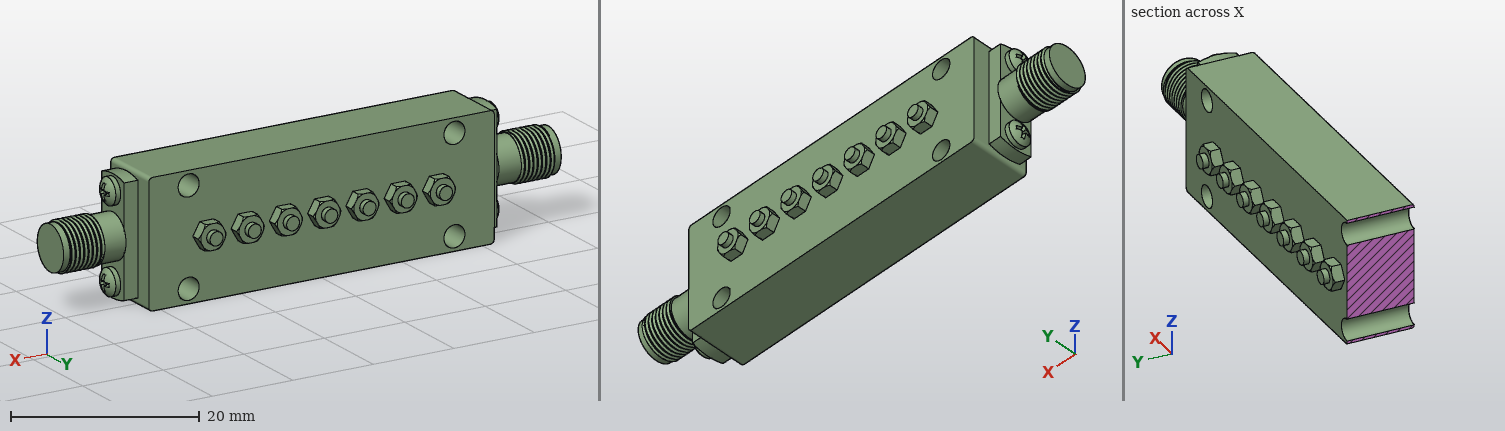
import cadquery as cq
import math

HOUSING_LENGTH = 42.9
HOUSING_DEPTH = 8.0
HOUSING_HEIGHT = 15.0
CORNER_RADIUS = 0.5
FRONT_EDGE_RADIUS = 0.3
HALF_LENGTH = HOUSING_LENGTH / 2

MOUNT_HOLE_DIAMETER = 2.6
MOUNT_HOLE_SPACING_X = 33.0
MOUNT_HOLE_SPACING_Z = 11.6

TUNER_COUNT = 7
TUNER_PITCH = 4.75
NUT_SIDES = 6
NUT_ACROSS_FLATS = 3.0
NUT_HEIGHT = 1.3
NUT_CHAMFER = 0.2
STUD_DIAMETER = 1.6
OVERALL_DEPTH = 10.0
STUD_HEIGHT = OVERALL_DEPTH - HOUSING_DEPTH

OVERALL_LENGTH = 61.8
CONNECTOR_REACH = (OVERALL_LENGTH - HOUSING_LENGTH) / 2
CONNECTOR_Y = 3.45
BARREL_DIAMETER = 5.4
THREAD_DIAMETER = 5.85
THREAD_PITCH = 0.53
THREAD_LENGTH = 4.2
THREAD_END_GAP = 0.8
RIDGE_BASE = 0.51
RIDGE_ROOT_SINK = 0.03

FLANGE_LENGTH = 14.0
FLANGE_WIDTH = 4.6
FLANGE_THICKNESS = 1.7

SCREW_SPACING = 10.2
SCREW_HEAD_DIAMETER = 3.2
SCREW_HEAD_HEIGHT = 1.3
SCREW_RIM_HEIGHT = 0.6
RECESS_LENGTH = 2.0
RECESS_WIDTH = 0.5
RECESS_DEPTH = 0.6
RECESS_TAPER = 10


def make_housing():
    """Block with its front face on Y = 0, edges along Y and around the front rounded, mounting holes cut."""
    block = cq.Workplane("XY").box(HOUSING_LENGTH, HOUSING_DEPTH, HOUSING_HEIGHT, centered=(True, False, True))
    block = block.edges("|Y").fillet(CORNER_RADIUS)
    block = block.faces("<Y").edges().fillet(FRONT_EDGE_RADIUS)
    holes = (
        cq.Workplane("XZ")
        .rarray(MOUNT_HOLE_SPACING_X, MOUNT_HOLE_SPACING_Z, 2, 2)
        .circle(MOUNT_HOLE_DIAMETER / 2)
        .extrude(-HOUSING_DEPTH)
    )
    return block.cut(holes)


def make_tuner():
    """Lock nut and stud standing on the origin along +Z, nut corners on the X axis."""
    across_corners = NUT_ACROSS_FLATS / math.cos(math.pi / NUT_SIDES)
    nut = cq.Workplane("XY").polygon(NUT_SIDES, across_corners).extrude(NUT_HEIGHT)
    corner_trim = cq.Workplane("XY").circle(across_corners / 2).extrude(NUT_HEIGHT)
    corner_trim = corner_trim.faces(">Z").chamfer(NUT_CHAMFER)
    stud = cq.Workplane("XY").circle(STUD_DIAMETER / 2).extrude(STUD_HEIGHT)
    return nut.intersect(corner_trim).union(stud)


def make_thread():
    """Right-hand helical V ridge around +Z, trimmed flat at both ends of the threaded length."""
    root_radius = BARREL_DIAMETER / 2 - RIDGE_ROOT_SINK
    crest_radius = THREAD_DIAMETER / 2
    ridge = (
        cq.Workplane("XZ")
        .moveTo(root_radius, -RIDGE_BASE / 2)
        .lineTo(crest_radius, 0)
        .lineTo(root_radius, RIDGE_BASE / 2)
        .close()
    )
    helix_length = THREAD_LENGTH + 2 * THREAD_PITCH
    helix = cq.Workplane(cq.Wire.makeHelix(THREAD_PITCH, helix_length, root_radius))
    ridge = ridge.sweep(helix, isFrenet=True).translate((0, 0, -THREAD_PITCH))
    threaded_zone = cq.Workplane("XY").circle(THREAD_DIAMETER).extrude(THREAD_LENGTH)
    return ridge.intersect(threaded_zone)


def make_barrel():
    """Solid connector barrel along +Z from the flange face, threaded near its outer end."""
    barrel_length = CONNECTOR_REACH - FLANGE_THICKNESS
    barrel = cq.Workplane("XY").workplane(offset=FLANGE_THICKNESS).circle(BARREL_DIAMETER / 2)
    thread_start = CONNECTOR_REACH - THREAD_END_GAP - THREAD_LENGTH
    return barrel.extrude(barrel_length).union(make_thread().translate((0, 0, thread_start)))


def make_screw_head():
    """Domed screw head standing on the origin along +Z, with a tapered cross recess."""
    head_radius = SCREW_HEAD_DIAMETER / 2
    dome_rise = SCREW_HEAD_HEIGHT - SCREW_RIM_HEIGHT
    dome_radius = (head_radius**2 + dome_rise**2) / (2 * dome_rise)
    dome_center = SCREW_HEAD_HEIGHT - dome_radius
    mid_radius = head_radius / 2
    mid_dome = (mid_radius, dome_center + math.sqrt(dome_radius**2 - mid_radius**2))
    head = (
        cq.Workplane("XZ")
        .lineTo(head_radius, 0)
        .lineTo(head_radius, SCREW_RIM_HEIGHT)
        .threePointArc(mid_dome, (0, SCREW_HEAD_HEIGHT))
        .close()
        .revolve(360, (0, 0, 0), (0, 1, 0))
    )
    recess_plane = cq.Workplane("XY").workplane(offset=SCREW_HEAD_HEIGHT)
    for length, width in ((RECESS_LENGTH, RECESS_WIDTH), (RECESS_WIDTH, RECESS_LENGTH)):
        head = head.cut(recess_plane.rect(length, width).extrude(-RECESS_DEPTH, taper=RECESS_TAPER))
    return head


def make_connector():
    """Flange, barrel and screw heads built along +Z, flange length along Y."""
    flange = cq.Workplane("XY").circle(FLANGE_LENGTH / 2).extrude(FLANGE_THICKNESS)
    flange = flange.intersect(cq.Workplane("XY").rect(FLANGE_WIDTH, FLANGE_LENGTH).extrude(FLANGE_THICKNESS))
    connector = flange.union(make_barrel())
    for side in (-1, 1):
        seat = (0, side * SCREW_SPACING / 2, FLANGE_THICKNESS)
        connector = connector.union(make_screw_head().translate(seat))
    return connector


result = make_housing()

for index in range(TUNER_COUNT):
    tuner_x = (index - (TUNER_COUNT - 1) / 2) * TUNER_PITCH
    tuner_plane = cq.Plane(origin=(tuner_x, HOUSING_DEPTH, 0), xDir=(1, 0, 0), normal=(0, 1, 0))
    result = result.union(cq.Workplane(make_tuner().val().moved(tuner_plane.location)))

for side in (-1, 1):
    end_plane = cq.Plane(origin=(side * HALF_LENGTH, CONNECTOR_Y, 0), xDir=(0, side, 0), normal=(side, 0, 0))
    result = result.union(cq.Workplane(make_connector().val().moved(end_plane.location)))